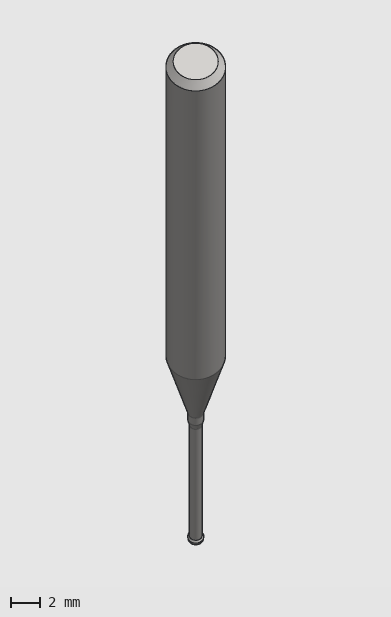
import cadquery as cq
import math

total_length = 55.0
shank_radius = 4.0 / 2
chamfer_width = 0.5
chamfer_height = 0.6

neck_top = 13.5
collar_bottom = 14.1
collar_top = 14.9
shank_bottom = 21.35

neck_radius = 0.45
collar_radius = 0.55

tip_radius = 0.55
nose_height = 0.6
back_taper = 0.15
tip_top = nose_height + back_taper


def revolve_about_z(profile):
    """Turn a closed profile, drawn in the YZ plane, about the tool axis."""
    return profile.revolve(360, (0, 0, 0), (0, 1, 0))


def make_cutting_tip():
    """Rounded nose whose widest edge tapers back to a flat face against the neck."""
    nose_middle = (-tip_radius * math.sin(math.pi / 4), nose_height * (1 - math.cos(math.pi / 4)))
    profile = (
        cq.Workplane("YZ")
        .moveTo(0, 0)
        .threePointArc(nose_middle, (-tip_radius, nose_height))
        .lineTo(-neck_radius, tip_top)
        .lineTo(0, tip_top)
        .close()
    )
    return revolve_about_z(profile)


def make_shank():
    """Neck, collar, long taper and chamfered cylindrical shank."""
    profile = cq.Workplane("YZ").polyline([
        (0, tip_top),
        (-neck_radius, tip_top),
        (-neck_radius, neck_top),
        (-collar_radius, collar_bottom),
        (-collar_radius, collar_top),
        (-shank_radius, shank_bottom),
        (-shank_radius, total_length - chamfer_height),
        (chamfer_width - shank_radius, total_length),
        (0, total_length),
    ]).close()
    return revolve_about_z(profile)


cutting_tip = make_cutting_tip()
shank = make_shank()

result = cq.Compound.makeCompound([cutting_tip.val(), shank.val()])